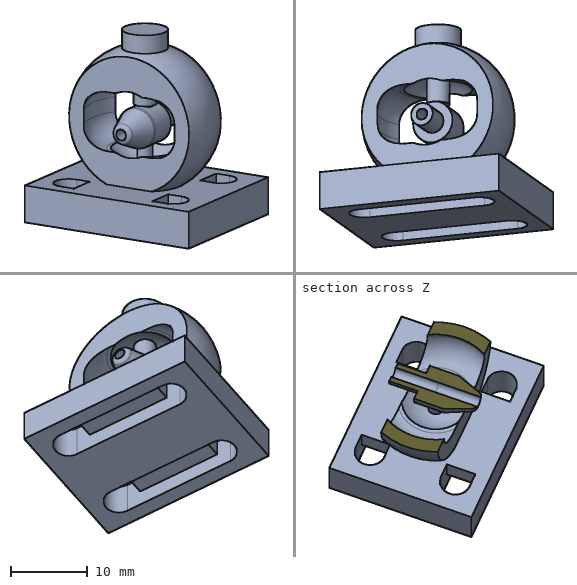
import cadquery as cq

base_length = 25.0
base_width = 20.0
base_height = 5.0
base_shift = 0.23

slot_width = 4.0
slot_length = 20.0
slot_spacing = 11.98
foot_length = 11.98
foot_width = slot_spacing + slot_width
foot_thickness = base_height / 2

total_height = 25.5
ball_radius = 10.0
ring_thickness = 8.0
ball_center_z = 13.5
stub_radius = 3.0

drum_radius = 8.0
drum_height = 8.0
drum_fillet = 3.0
inner_ball_radius = 6.0

post_radius = 1.0
collar_radius = 1.5
collar_height_above_center = 2.0
post_overlap = 0.25

nozzle_z = 12.62
bore_radius = 0.75
tail_radius = 1.5
body_radius = 2.75
tip_radius = 1.25
nozzle_reach = 6.0
nozzle_fillet = 0.7
body_front = 2.12
body_back = 2.0


def make_base():
    plate = cq.Workplane("XY").box(base_length, base_width, base_height, centered=(True, True, False))
    slots = (
        cq.Workplane("XY")
        .pushPoints([(0, -slot_spacing / 2), (0, slot_spacing / 2)])
        .slot2D(slot_length, slot_width)
        .extrude(base_height)
    )
    return plate.translate((base_shift, 0, 0)).cut(slots)


def make_foot():
    foot = cq.Workplane("XY").box(foot_length, foot_width, foot_thickness, centered=(True, True, False))
    return foot.translate((0, 0, base_height - foot_thickness))


def make_ring():
    slab = cq.Workplane("XY").box(2 * ball_radius, ring_thickness, total_height, centered=(True, True, False))
    above_foot = slab.translate((0, 0, base_height - foot_thickness))
    ball = cq.Workplane("XY").sphere(ball_radius).translate((0, 0, ball_center_z))
    stub = (
        cq.Workplane("XY")
        .workplane(offset=ball_center_z)
        .circle(stub_radius)
        .extrude(total_height - ball_center_z)
    )
    return ball.intersect(above_foot).union(stub)


def make_cavity():
    drum = cq.Workplane("XY").cylinder(drum_height, drum_radius).edges().fillet(drum_fillet)
    inner_ball = cq.Workplane("XY").sphere(inner_ball_radius)
    return drum.union(inner_ball).translate((0, 0, ball_center_z))


def make_posts():
    post_bottom = ball_center_z - inner_ball_radius - post_overlap
    post_top = ball_center_z + inner_ball_radius + post_overlap
    collar_bottom = ball_center_z + collar_height_above_center
    post = cq.Workplane("XY").workplane(offset=post_bottom).circle(post_radius).extrude(post_top - post_bottom)
    collar = cq.Workplane("XY").workplane(offset=collar_bottom).circle(collar_radius)
    return post.union(collar.extrude(post_top - collar_bottom))


def make_nozzle():
    profile = (
        cq.Workplane("XY")
        .moveTo(0, -nozzle_reach)
        .lineTo(tip_radius, -nozzle_reach)
        .lineTo(body_radius, -body_front)
        .lineTo(body_radius, body_back)
        .lineTo(tail_radius, body_back)
        .lineTo(tail_radius, nozzle_reach)
        .lineTo(0, nozzle_reach)
        .close()
    )
    nozzle = profile.revolve(360, (0, 0, 0), (0, 1, 0))
    front_rims = nozzle.faces("%CONE").edges("%CIRCLE")
    return front_rims.fillet(nozzle_fillet).translate((0, 0, nozzle_z))


def make_bore():
    bore = cq.Workplane("XZ").center(0, nozzle_z).circle(bore_radius)
    return bore.extrude(nozzle_reach, both=True)


hollow_ring = make_ring().cut(make_cavity()).union(make_posts()).union(make_nozzle())
result = make_base().union(make_foot()).union(hollow_ring).cut(make_bore())